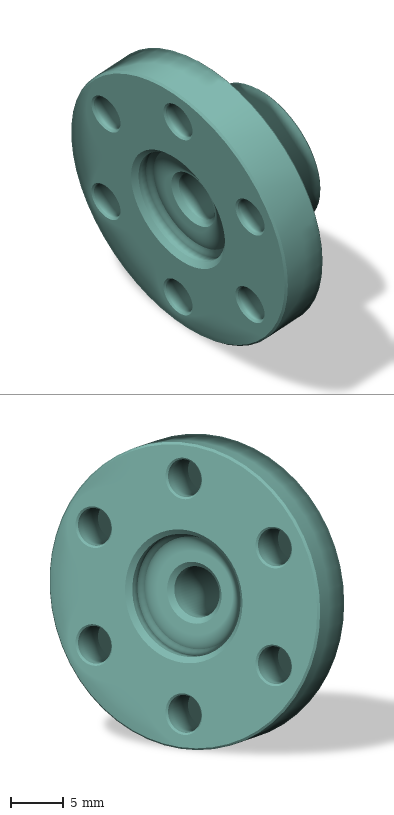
import cadquery as cq

flange_diameter = 30
flange_thickness = 5.0
step_diameter = 17.0
step_height = 0.4
hub_diameter = 15
hub_height = 6.5
edge_chamfer = 0.2

bore_diameter = 5.0
bore_chamfer = 0.5
pocket_diameter = 12
pocket_depth = 2.0
pocket_chamfer = 0.5

hole_count = 6
hole_circle_diameter = 23.05
hole_diameter = 3.7
hole_depth = 4.0
hole_chamfer = 0.18

step_face = flange_thickness + step_height
hub_face = step_face + hub_height


def turned(profile):
    """Revolve a closed (radius, y) profile a full turn about the Y axis."""
    return cq.Workplane("XY").polyline(profile).close().revolve(360, (0, 0), (0, 1))


def outer_body():
    flange_radius = flange_diameter / 2
    step_radius = step_diameter / 2
    hub_radius = hub_diameter / 2
    return turned([
        (0, 0),
        (flange_radius - edge_chamfer, 0),
        (flange_radius, edge_chamfer),
        (flange_radius, flange_thickness - edge_chamfer),
        (flange_radius - edge_chamfer, flange_thickness),
        (step_radius, flange_thickness),
        (step_radius, step_face),
        (hub_radius, step_face),
        (hub_radius, hub_face - edge_chamfer),
        (hub_radius - edge_chamfer, hub_face),
        (0, hub_face),
    ])


def axial_opening():
    """Pocket chamfered at its mouth and floor, then a bore chamfered where it leaves the floor."""
    pocket_radius = pocket_diameter / 2
    bore_radius = bore_diameter / 2
    return turned([
        (0, 0),
        (pocket_radius + pocket_chamfer, 0),
        (pocket_radius, pocket_chamfer),
        (pocket_radius, pocket_depth - pocket_chamfer),
        (pocket_radius - pocket_chamfer, pocket_depth),
        (bore_radius + bore_chamfer, pocket_depth),
        (bore_radius, pocket_depth + bore_chamfer),
        (bore_radius, hub_face),
        (0, hub_face),
    ])


def blind_hole():
    hole_radius = hole_diameter / 2
    return turned([
        (0, 0),
        (hole_radius + hole_chamfer, 0),
        (hole_radius, hole_chamfer),
        (hole_radius, hole_depth),
        (0, hole_depth),
    ])


result = outer_body().cut(axial_opening())
first_hole = blind_hole().translate((0, 0, hole_circle_diameter / 2))
for index in range(hole_count):
    angle = index * 360 / hole_count
    result = result.cut(first_hole.rotate((0, 0, 0), (0, 1, 0), angle))